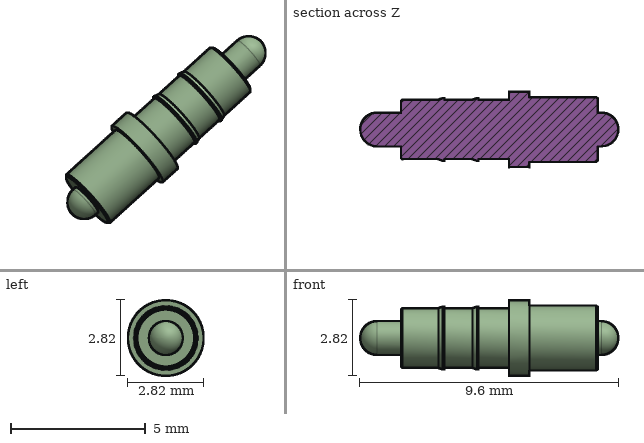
import cadquery as cq

total_length = 9.6
pin_radius = 0.63
body_radius = 1.11
barb_radius = 1.17
flange_radius = 1.41
barrel_radius = 1.21
end_chamfer = 0.06

body_start = 1.52
flange_start = 5.53
flange_width = 0.76
barrel_end = 8.83

barb_start = 2.91
barb_pitch = 1.27
barb_count = 2
barb_lead_in = 0.16
barb_crest = 0.07

left_tip = -total_length / 2


def revolve_outline(outline):
    """Revolve a closed outline of the XY plane about the X axis."""
    return outline.close().revolve(360, (0, 0, 0), (1, 0, 0))


def cylinder(start, length, radius):
    """Cylinder along X whose left face is `start` from the left tip."""
    return cq.Workplane("YZ", origin=(left_tip + start, 0, 0)).circle(radius).extrude(length)


def make_pin():
    """Full-length plunger with a hemispherical tip at each end."""
    dome_centre = total_length / 2 - pin_radius
    dome_mid = pin_radius / 2**0.5
    outline = (
        cq.Workplane("XY")
        .moveTo(left_tip, 0)
        .threePointArc((-dome_centre - dome_mid, dome_mid), (-dome_centre, pin_radius))
        .lineTo(dome_centre, pin_radius)
        .threePointArc((dome_centre + dome_mid, dome_mid), (total_length / 2, 0))
    )
    return revolve_outline(outline)


def make_barb(start):
    """Barb ring rising from the body surface to its crest."""
    base = left_tip + start
    crest_start = base + barb_lead_in
    crest_end = crest_start + barb_crest
    outline = (
        cq.Workplane("XY")
        .moveTo(base, 0)
        .lineTo(base, body_radius)
        .lineTo(crest_start, barb_radius)
        .lineTo(crest_end, barb_radius)
        .lineTo(crest_end, 0)
    )
    return revolve_outline(outline)


flange_end = flange_start + flange_width
body = cylinder(body_start, flange_start - body_start, body_radius).faces("<X").chamfer(end_chamfer)
barrel = cylinder(flange_end, barrel_end - flange_end, barrel_radius).faces(">X").chamfer(end_chamfer)
flange = cylinder(flange_start, flange_width, flange_radius)

result = make_pin().union(body).union(flange).union(barrel)
for index in range(barb_count):
    result = result.union(make_barb(barb_start + index * barb_pitch))